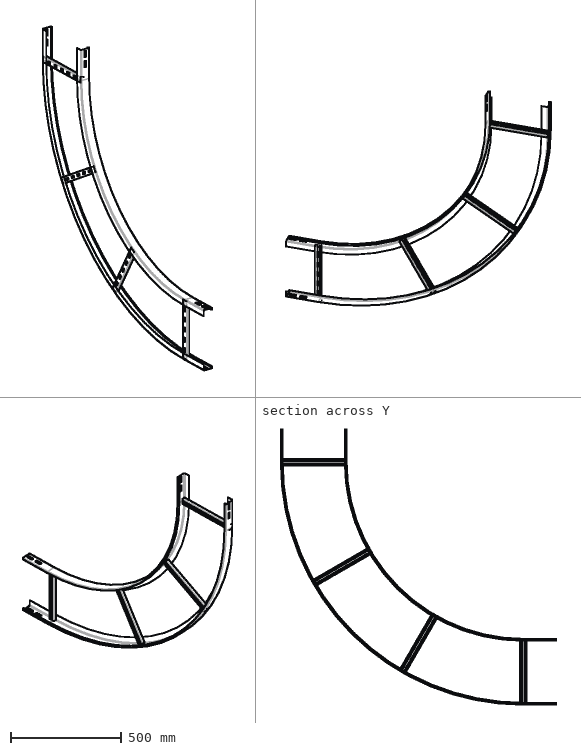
import cadquery as cq
import math


leg_length = 150.0
outer_radius = 1100.0
ladder_width = 300.0
inner_radius = outer_radius - ladder_width
bend_centre = outer_radius
leg_end = outer_radius + leg_length
bend_angle = 90.0

rail_height = 50.0
flange_width = 31.0
lip_width = 10.0
lip_return = 8.0
lip_bend_radius = 3.0
rail_sheet = 2.0
rail_bend_radius = 5.0

web_slot_length = 30.0
web_slot_width = 10.0
web_slot_distances = (25.0, 75.0)

rung_count = 4
rung_width = 30.0
rung_depth = 18.0
rung_lip = 10.0
rung_sheet = 1.5
rung_bend_radius = 3.0
rung_end_gap = 6.0
rung_length = ladder_width - 2 * rung_end_gap

rung_slot_count = 5
rung_slot_pitch = 50.0
rung_slot_length = 20.0
rung_slot_width = 7.0


def rounded_outline(plane, corners):
    """Closed outline through square corners, each given as (x, y, corner radius)."""
    outline = None
    count = len(corners)
    for i in range(count):
        x, y, radius = corners[i]
        before = corners[i - 1]
        after = corners[(i + 1) % count]
        run_in = math.dist((x, y), before[:2])
        run_out = math.dist((x, y), after[:2])
        back = ((before[0] - x) / run_in, (before[1] - y) / run_in)
        ahead = ((after[0] - x) / run_out, (after[1] - y) / run_out)
        arc_start = (x + radius * back[0], y + radius * back[1])
        outline = plane.moveTo(*arc_start) if outline is None else outline.lineTo(*arc_start)
        if radius > 0:
            inset = radius * (1 - math.sqrt(0.5))
            arc_middle = (x + inset * (back[0] + ahead[0]), y + inset * (back[1] + ahead[1]))
            arc_end = (x + radius * ahead[0], y + radius * ahead[1])
            outline = outline.threePointArc(arc_middle, arc_end)
    return outline.close()


def rail_section(web_x, inward):
    """Channel at the top of the upright leg; inward is +1 or -1 along X."""
    inside_bend = rail_bend_radius - rail_sheet
    section = [
        (0, 0, rail_bend_radius),
        (flange_width, 0, 0),
        (flange_width, rail_sheet, 0),
        (rail_sheet, rail_sheet, inside_bend),
        (rail_sheet, rail_height - rail_sheet, inside_bend),
        (lip_width - rail_sheet, rail_height - rail_sheet, lip_bend_radius - rail_sheet),
        (lip_width - rail_sheet, rail_height - lip_return, 0),
        (lip_width, rail_height - lip_return, 0),
        (lip_width, rail_height, lip_bend_radius),
        (0, rail_height, rail_bend_radius),
    ]
    corners = [(web_x + inward * across, y, radius) for across, y, radius in section]
    return rounded_outline(cq.Workplane("XY", origin=(0, 0, leg_end)), corners)


def rail_path(radius):
    """Upright leg, quarter bend and level leg along the outside of a web."""
    web = bend_centre - radius
    middle = bend_centre - radius * math.sqrt(0.5)
    return (
        cq.Workplane("XZ")
        .moveTo(web, leg_end)
        .lineTo(web, bend_centre)
        .threePointArc((middle, middle), (bend_centre, web))
        .lineTo(leg_end, web)
    )


def web_slots(web):
    """Cutters for the joining slots in both legs, whose webs lie at X = web and Z = web."""
    cut_depth = 2 * rail_sheet
    mid_height = rail_height / 2
    places = [leg_end - distance for distance in web_slot_distances]
    upright = (
        cq.Workplane("YZ", origin=(web, 0, 0))
        .pushPoints([(mid_height, z) for z in places])
        .rect(web_slot_width, web_slot_length)
        .extrude(cut_depth, both=True)
    )
    level = (
        cq.Workplane("XY", origin=(0, 0, web))
        .pushPoints([(x, mid_height) for x in places])
        .rect(web_slot_length, web_slot_width)
        .extrude(cut_depth, both=True)
    )
    return upright.add(level).combine()


def side_rail(radius, inward):
    """One bent rail with its slots; leg and bend faces stay separate where they meet."""
    web = bend_centre - radius
    rail = rail_section(web, inward).sweep(rail_path(radius), clean=False)
    return rail.cut(web_slots(web), clean=False)


def rung_blank():
    """Lipped channel at the upright joint, open to the back, ending just short of both webs."""
    half = rung_width / 2
    lip_end = half - rung_lip
    inside = half - rung_sheet
    front = rail_sheet
    back = front + rung_depth
    inside_bend = rung_bend_radius - rung_sheet
    right_side = [
        (half, front, rung_bend_radius),
        (half, back, rung_bend_radius),
        (lip_end, back, 0),
        (lip_end, back - rung_sheet, 0),
        (inside, back - rung_sheet, inside_bend),
        (inside, front + rung_sheet, inside_bend),
    ]
    left_side = [(-across, y, radius) for across, y, radius in reversed(right_side)]
    corners = [(y, across, radius) for across, y, radius in right_side + left_side]
    plane = cq.Workplane("YZ", origin=(rung_end_gap, 0, bend_centre))
    return rounded_outline(plane, corners).extrude(rung_length)


def rung_slots():
    """Cutters for the row of slots along the front face of a rung."""
    return (
        cq.Workplane("XZ", origin=(ladder_width / 2, rail_sheet, bend_centre))
        .rarray(rung_slot_pitch, 1, rung_slot_count, 1)
        .rect(rung_slot_length, rung_slot_width)
        .extrude(2 * rung_sheet, both=True)
    )


def rung(angle):
    """One rung, seated on the inside of both flanges and turned about the bend centre."""
    axis_start = (bend_centre, 0, bend_centre)
    axis_end = (bend_centre, -1, bend_centre)
    return rung_blank().cut(rung_slots()).rotate(axis_start, axis_end, angle)


outer_rail = side_rail(outer_radius, 1)
inner_rail = side_rail(inner_radius, -1)
rungs = [rung(index * bend_angle / (rung_count - 1)) for index in range(rung_count)]

result = cq.Compound.makeCompound([outer_rail.val(), inner_rail.val(), *[bar.val() for bar in rungs]])